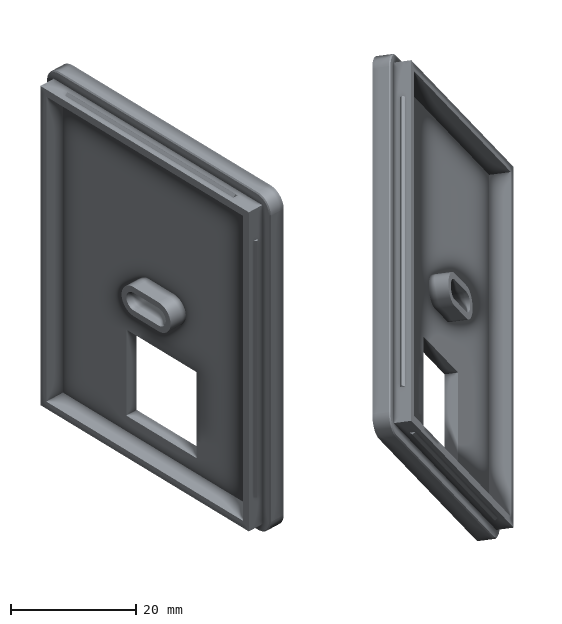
import cadquery as cq
width = 52.15
height = 65.7
depth = 6.0
plate_thickness = 3.0
corner_radius = 3.0
edge_chamfer = 0.2

rim_inset = 1.8
rim_wall = 1.4
floor_thickness = 2.3

bead_width = 0.9
bead_projection = 0.4
bead_length_x = 39.2
bead_length_z = 49.9

slot_length = 9.2
slot_height = 3.4
collar_wall = 1.1
collar_projection = 3.35
slot_z = -0.25

window_width = 16.35
window_height = 16.75
window_z = -18.3

rim_width = width - 2 * rim_inset
rim_height = height - 2 * rim_inset
rim_depth = depth - plate_thickness


def front_plane(distance):
    """Sketch plane facing -Y, at this distance from the outer face."""
    return cq.Workplane("XZ", origin=(0, -distance, 0))


def make_plate():
    plate = front_plane(0).rect(width, height).extrude(plate_thickness)
    plate = plate.edges("|Y").fillet(corner_radius)
    return plate.faces("<Y").edges().chamfer(edge_chamfer)


def make_bead(length, rim_span):
    """Bead along X on the +Z side of a rim that spans rim_span in Z."""
    bead_y = -(plate_thickness + rim_depth / 2)
    base_z = rim_span / 2
    half_width = bead_width / 2
    profile = [
        (bead_y - half_width, base_z),
        (bead_y, base_z + bead_projection),
        (bead_y + half_width, base_z),
    ]
    return cq.Workplane("YZ").polyline(profile).close().extrude(length / 2, both=True)


def make_beads():
    bead_x = make_bead(bead_length_x, rim_height)
    bead_z = make_bead(bead_length_z, rim_width)
    placements = ((0, bead_x), (90, bead_z), (180, bead_x), (270, bead_z))
    return [bead.rotate((0, 0, 0), (0, 1, 0), angle) for angle, bead in placements]


rim = front_plane(plate_thickness).rect(rim_width, rim_height).extrude(rim_depth)
result = make_plate().union(rim)

recess = (
    front_plane(floor_thickness)
    .rect(rim_width - 2 * rim_wall, rim_height - 2 * rim_wall)
    .extrude(depth - floor_thickness)
)
result = result.cut(recess)

for snap_bead in make_beads():
    result = result.union(snap_bead)

collar = (
    front_plane(floor_thickness)
    .center(0, slot_z)
    .slot2D(slot_length + 2 * collar_wall, slot_height + 2 * collar_wall)
    .extrude(collar_projection)
)
result = result.union(collar)

slot = front_plane(0).center(0, slot_z).slot2D(slot_length, slot_height).extrude(depth)
window = front_plane(0).center(0, window_z).rect(window_width, window_height).extrude(depth)
result = result.cut(slot).cut(window)